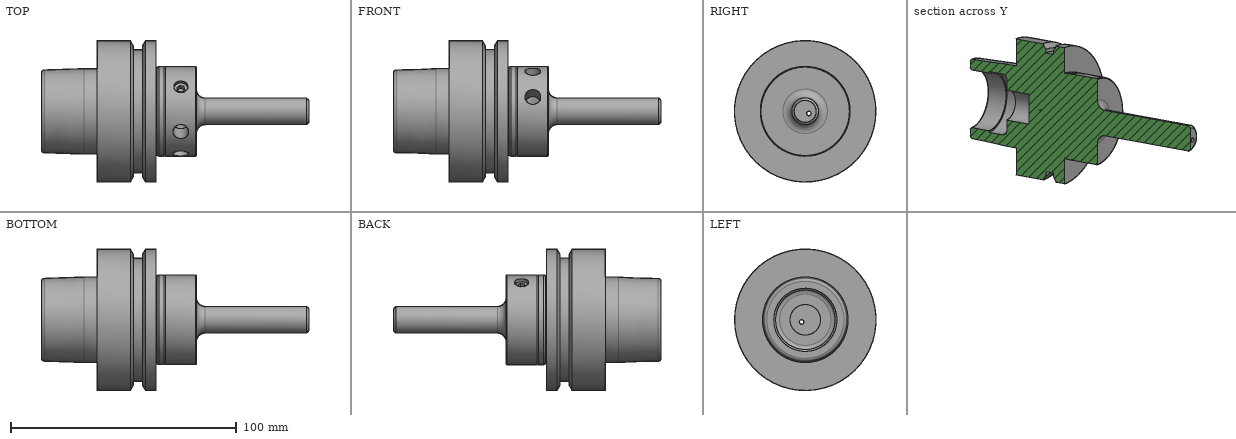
import cadquery as cq
import math


total_length = 119.0
taper_end = 19.0
flange_start = 24.8
flange_end = 51.0
grip_groove_start = 39.5
grip_groove_end = 46.3
collar_end = 68.9

nose_round = 1.3
nose_radius = 18.5
taper_radius = 19.0

flange_diameter = 63.0
flange_radius = flange_diameter / 2
grip_groove_radius = 27.5
grip_chamfer_length = 1.4
grip_chamfer_depth = 2.4

collar_radius = 20.0
collar_chamfer = 0.4
relief_depth = 0.4
relief_flat = 0.4
relief_length = 1.3
ring_start = 54.5
ring_width = 0.7
ring_depth = 0.2

shank_radius = 6.0
shank_chamfer = 1.1
neck_fillet = 3.9

bore_radius = 13.2
bore_chamfer = 0.8
undercut_start = 10.2
undercut_radius = 13.9
floor_position = 19.8
floor_fillet = 2.5
pilot_bore_radius = 6.8
pilot_bore_depth = 11.9

coolant_radius = 1.0
coolant_offset = 1.9
coolant_angle = -30.0

radial_hole_x = 62.0
balance_hole_radius = 3.5
balance_hole_depth = 9.8
balance_hole_tip_angle = 118.0
balance_hole_angles = (117.0, 161.2)
screw_hole_radius = 3.1
screw_hole_depth = 1.8
screw_hole_angle = 56.5
hex_across_corners = 3.7
hex_depth = 2.4
hex_turn = -15.0

quarter_arc_inset = 1 - math.sqrt(0.5)


def turned_body():
    """Outer shape of the holder, without its bore and holes."""
    relief_radius = collar_radius - relief_depth
    ring_radius = collar_radius - ring_depth
    round_mid = nose_round * quarter_arc_inset
    neck_mid = neck_fillet * quarter_arc_inset
    chamfered_radius = flange_radius - grip_chamfer_depth
    grip_wall_start = grip_groove_start + grip_chamfer_length
    grip_wall_end = grip_groove_end - grip_chamfer_length
    ring_end = ring_start + ring_width
    profile = (
        cq.Workplane("XY")
        .moveTo(0, 0)
        .lineTo(0, nose_radius - nose_round)
        .threePointArc((round_mid, nose_radius - round_mid), (nose_round, nose_radius))
        .lineTo(taper_end, taper_radius)
        .lineTo(flange_start, taper_radius)
        .lineTo(flange_start, flange_radius)
        .lineTo(grip_groove_start, flange_radius)
        .lineTo(grip_wall_start, chamfered_radius)
        .lineTo(grip_wall_start, grip_groove_radius)
        .lineTo(grip_wall_end, grip_groove_radius)
        .lineTo(grip_wall_end, chamfered_radius)
        .lineTo(grip_groove_end, flange_radius)
        .lineTo(flange_end, flange_radius)
        .lineTo(flange_end, relief_radius)
        .lineTo(flange_end + relief_flat, relief_radius)
        .lineTo(flange_end + relief_length, collar_radius)
        .lineTo(ring_start, collar_radius)
        .lineTo(ring_start, ring_radius)
        .lineTo(ring_end, ring_radius)
        .lineTo(ring_end, collar_radius)
        .lineTo(collar_end - collar_chamfer, collar_radius)
        .lineTo(collar_end, collar_radius - collar_chamfer)
        .lineTo(collar_end, shank_radius + neck_fillet)
        .threePointArc(
            (collar_end + neck_mid, shank_radius + neck_mid),
            (collar_end + neck_fillet, shank_radius),
        )
        .lineTo(total_length - shank_chamfer, shank_radius)
        .lineTo(total_length, shank_radius - shank_chamfer)
        .lineTo(total_length, 0)
        .close()
    )
    return profile.revolve(360, (0, 0, 0), (1, 0, 0))


def taper_bore():
    """Chamfered bore, undercut behind its mouth, with a pilot bore in its round-edged floor."""
    fillet_mid = floor_fillet * quarter_arc_inset
    pilot_bore_end = floor_position + pilot_bore_depth
    profile = (
        cq.Workplane("XY")
        .moveTo(0, 0)
        .lineTo(0, bore_radius + bore_chamfer)
        .lineTo(bore_chamfer, bore_radius)
        .lineTo(undercut_start, bore_radius)
        .lineTo(undercut_start, undercut_radius)
        .lineTo(floor_position - floor_fillet, undercut_radius)
        .threePointArc(
            (floor_position - fillet_mid, undercut_radius - fillet_mid),
            (floor_position, undercut_radius - floor_fillet),
        )
        .lineTo(floor_position, pilot_bore_radius)
        .lineTo(pilot_bore_end, pilot_bore_radius)
        .lineTo(pilot_bore_end, 0)
        .close()
    )
    return profile.revolve(360, (0, 0, 0), (1, 0, 0))


def coolant_hole():
    """Small hole parallel to the axis, through the whole part."""
    angle = math.radians(coolant_angle)
    offset_y = coolant_offset * math.cos(angle)
    offset_z = coolant_offset * math.sin(angle)
    return cq.Workplane("YZ").center(offset_y, offset_z).circle(coolant_radius).extrude(total_length)


def radial_plane(angle_degrees, radius):
    """Workplane at the given distance from the axis, its normal pointing outwards."""
    angle = math.radians(angle_degrees)
    outward = (0, math.cos(angle), math.sin(angle))
    origin = (radial_hole_x, radius * outward[1], radius * outward[2])
    return cq.Workplane(cq.Plane(origin=origin, xDir=(1, 0, 0), normal=outward))


def balance_hole(angle_degrees):
    """Radial drilled hole ending in a drill cone."""
    tip_length = balance_hole_radius / math.tan(math.radians(balance_hole_tip_angle / 2))
    tip_plane = radial_plane(angle_degrees, collar_radius - balance_hole_depth - tip_length)
    section_plane = tip_plane.transformed(rotate=(90, 0, 0))
    half_section = (
        section_plane.lineTo(balance_hole_radius, tip_length)
        .lineTo(balance_hole_radius, collar_radius)
        .lineTo(0, collar_radius)
        .close()
    )
    return half_section.revolve(360, (0, 0, 0), (0, 1, 0))


def screw_recess():
    """Radial hole down to a set screw, with the hexagon socket in the screw's face."""
    screw_face = collar_radius - screw_hole_depth
    hole = radial_plane(screw_hole_angle, screw_face).circle(screw_hole_radius).extrude(collar_radius)
    socket_plane = radial_plane(screw_hole_angle, screw_face - hex_depth)
    turned_plane = socket_plane.transformed(rotate=(0, 0, hex_turn))
    socket = turned_plane.polygon(6, hex_across_corners).extrude(collar_radius)
    return hole.union(socket)


result = turned_body().cut(taper_bore()).cut(coolant_hole()).cut(screw_recess())
for hole_angle in balance_hole_angles:
    result = result.cut(balance_hole(hole_angle))